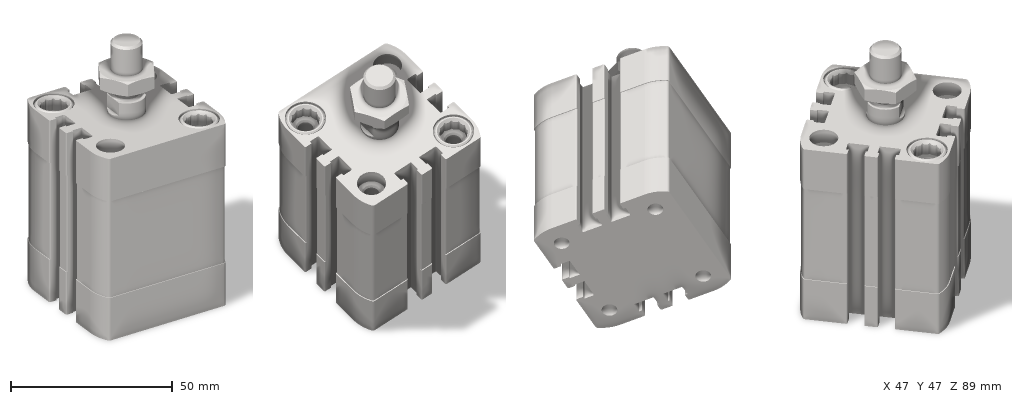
import cadquery as cq
import math

SIDE = 47.0
HALF = SIDE / 2
TOTAL_HEIGHT = 89.0
HOUSING_HEIGHT = 64.0

BARREL_HEIGHT = 34.0
CAP_HEIGHT = (HOUSING_HEIGHT - BARREL_HEIGHT) / 2
BARREL_INSET = 0.3
CORNER_START = 16.2
CORNER_RADIUS = 13.1
CORNER_BLEND = 1.0

SLOT_DEPTH = 6.0
LIP_DEPTH = 2.5
RAIL_WEB_HALF = 1.6
RAIL_HEAD_HALF = 2.1
MOUTH_END = 7.5
CAVITY_END = 8.4
MOUTH_BLEND = 0.45
RAIL_BLEND = 0.4
CAVITY_BLEND = 0.5
SLOT_FACE_ANGLES = (0, 90, 180)

HOLE_OFFSET = 16.3
BORE_DIAMETER = 4.9
BORE_MOUTH_DIAMETER = 6.0
COUNTERBORE_DIAMETER = 9.0
COUNTERBORE_DEPTH = 4.8
HOLE_FLOOR_Z = HOUSING_HEIGHT - COUNTERBORE_DEPTH

RECESS_DIAMETER = 12.8
RECESS_DEPTH = 1.0
HEAD_DIAMETER = 11.9
HEAD_CHAMFER = 0.45
SOCKET_MOUTH_DIAMETER = 10.2
SOCKET_POINTS = 12
SOCKET_ACROSS_FLATS = 7.9
SOCKET_BORE_DIAMETER = 8.5
SOCKET_CONE_DEPTH = 1.1

ROD_DIAMETER = 12.0
ROD_SHOULDER_Z = 69.9
FLATS_WIDTH = 10.0
FLATS_BOTTOM_Z = 65.3
FLATS_RUNOUT_Z = 64.8
NECK_FOOT_DIAMETER = 9.6
NECK_DIAMETER = 8.2
NECK_BOTTOM_Z = 70.4
NECK_TOP_Z = 71.5
CONE_FOOT_DIAMETER = 8.5
CONE_FOOT_Z = 71.7
THREAD_DIAMETER = 10.0
THREAD_TIP_DIAMETER = 8.5
THREAD_CHAMFER_HEIGHT = 0.8

NUT_BOTTOM_Z = 74.0
NUT_HEIGHT = 5.0
NUT_ACROSS_FLATS = 17.0
NUT_FACE_DIAMETER = 16.9
NUT_CHAMFER_HEIGHT = 0.45


def revolved(profile):
    """Turn a closed (radius, z) profile about the Z axis."""
    return cq.Workplane("XZ").polyline(profile).close().revolve(360, (0, 0, 0), (0, 1, 0))


def housing_block(inset, bottom, height):
    """Square block with arched corners, its outer faces moved inwards by the inset."""
    half = HALF - inset
    radius = CORNER_RADIUS - inset
    side_run = half - CORNER_START
    centre_y = half - radius
    side_y = centre_y + math.sqrt(radius ** 2 - side_run ** 2)
    half_angle = math.asin(side_run / radius) / 2
    mid_x = CORNER_START + radius * math.sin(half_angle)
    mid_y = centre_y + radius * math.cos(half_angle)
    return (
        cq.Workplane("XY", origin=(0, 0, bottom))
        .moveTo(-CORNER_START, half)
        .lineTo(CORNER_START, half)
        .threePointArc((mid_x, mid_y), (half, side_y))
        .lineTo(half, -side_y)
        .threePointArc((mid_x, -mid_y), (CORNER_START, -half))
        .lineTo(-CORNER_START, -half)
        .threePointArc((-mid_x, -mid_y), (-half, -side_y))
        .lineTo(-half, side_y)
        .threePointArc((-mid_x, mid_y), (-CORNER_START, half))
        .close()
        .extrude(height)
        .edges("|Z and (<X or >X)")
        .fillet(CORNER_BLEND)
    )


def slot_pair(inset, bottom, height):
    """Two mirrored T-shaped slots on the +Y face, with the narrow rail left between them."""
    face = HALF - inset
    lip = HALF - LIP_DEPTH
    floor = HALF - SLOT_DEPTH
    slot = (
        cq.Workplane("XY", origin=(0, 0, bottom))
        .moveTo(MOUTH_END + MOUTH_BLEND, face)
        .radiusArc((MOUTH_END, face - MOUTH_BLEND), -MOUTH_BLEND)
        .lineTo(MOUTH_END, lip)
        .lineTo(CAVITY_END, lip)
        .lineTo(CAVITY_END, floor + CAVITY_BLEND)
        .radiusArc((CAVITY_END - CAVITY_BLEND, floor), CAVITY_BLEND)
        .lineTo(RAIL_WEB_HALF, floor)
        .lineTo(RAIL_WEB_HALF, lip)
        .lineTo(RAIL_HEAD_HALF, lip)
        .lineTo(RAIL_HEAD_HALF, face - RAIL_BLEND)
        .radiusArc((RAIL_HEAD_HALF - RAIL_BLEND, face), -RAIL_BLEND)
        .close()
        .extrude(height)
    )
    return slot.union(slot.mirror("YZ"))


def housing_section(inset, bottom, height):
    """One length of the housing profile with the slots in its back, left and front faces."""
    section = housing_block(inset, bottom, height)
    slots = slot_pair(inset, bottom, height)
    for angle in SLOT_FACE_ANGLES:
        section = section.cut(slots.rotate((0, 0, 0), (0, 0, 1), angle))
    return section


def corner_bore(mouth_z):
    """Through bore with a 45-degree mouth at the given height, to cut at the origin."""
    bore_radius = BORE_DIAMETER / 2
    mouth_radius = BORE_MOUTH_DIAMETER / 2
    return revolved([
        (0, 0),
        (bore_radius, 0),
        (bore_radius, mouth_z - (mouth_radius - bore_radius)),
        (mouth_radius, mouth_z),
        (0, mouth_z),
    ])


def cylinder_at_floor(diameter):
    """Cylinder from the floor of a corner counterbore up to the top of the housing."""
    return (
        cq.Workplane("XY", origin=(0, 0, HOLE_FLOOR_Z))
        .circle(diameter / 2)
        .extrude(COUNTERBORE_DEPTH)
    )


def screw_recess():
    """Ring-shaped gap around a collar screw head, wider at the head's chamfer."""
    outer_radius = RECESS_DIAMETER / 2
    head_radius = HEAD_DIAMETER / 2
    bottom = HOUSING_HEIGHT - RECESS_DEPTH
    return revolved([
        (outer_radius, bottom),
        (outer_radius, HOUSING_HEIGHT),
        (head_radius - HEAD_CHAMFER, HOUSING_HEIGHT),
        (head_radius, HOUSING_HEIGHT - HEAD_CHAMFER),
        (head_radius, bottom),
    ])


def screw_socket():
    """Twelve-point socket with a conical mouth in a collar screw head."""
    bore_radius = SOCKET_BORE_DIAMETER / 2
    socket = cylinder_at_floor(SOCKET_BORE_DIAMETER)
    hexagon = (
        cq.Workplane("XY", origin=(0, 0, HOLE_FLOOR_Z))
        .polygon(SOCKET_POINTS // 2, SOCKET_ACROSS_FLATS, circumscribed=True)
        .extrude(COUNTERBORE_DEPTH)
    )
    turned_hexagon = hexagon.rotate((0, 0, 0), (0, 0, 1), 360 / SOCKET_POINTS)
    socket = socket.union(hexagon).union(turned_hexagon)
    cone = revolved([
        (0, HOUSING_HEIGHT),
        (SOCKET_MOUTH_DIAMETER / 2, HOUSING_HEIGHT),
        (bore_radius, HOUSING_HEIGHT - SOCKET_CONE_DEPTH),
        (0, HOUSING_HEIGHT - SOCKET_CONE_DEPTH),
    ])
    return socket.union(cone)


def make_housing():
    """Cylinder housing: profile with two wider ends, slots and four corner holes."""
    body = (
        housing_section(0, 0, CAP_HEIGHT)
        .union(housing_section(BARREL_INSET, CAP_HEIGHT, BARREL_HEIGHT))
        .union(housing_section(0, CAP_HEIGHT + BARREL_HEIGHT, CAP_HEIGHT))
    )
    plain_hole = corner_bore(HOLE_FLOOR_Z).union(cylinder_at_floor(COUNTERBORE_DIAMETER))
    screw_hole = corner_bore(HOLE_FLOOR_Z).union(screw_socket()).union(screw_recess())
    for side in (-1, 1):
        body = body.cut(plain_hole.translate((side * HOLE_OFFSET, -side * HOLE_OFFSET, 0)))
        body = body.cut(screw_hole.translate((side * HOLE_OFFSET, side * HOLE_OFFSET, 0)))
    return body


def flat_cutter():
    """Material outside the flat on the +Y side, ending in a slope at its lower end."""
    flat_y = FLATS_WIDTH / 2
    rod_y = ROD_DIAMETER / 2
    return (
        cq.Workplane("YZ", origin=(-rod_y, 0, 0))
        .polyline([
            (flat_y, FLATS_BOTTOM_Z),
            (rod_y, FLATS_RUNOUT_Z),
            (rod_y, ROD_SHOULDER_Z),
            (flat_y, ROD_SHOULDER_Z),
        ])
        .close()
        .extrude(ROD_DIAMETER)
    )


def make_rod():
    """Piston rod standing on the housing: spanner flats, neck and threaded end."""
    thread_radius = THREAD_DIAMETER / 2
    rod = revolved([
        (0, HOUSING_HEIGHT),
        (ROD_DIAMETER / 2, HOUSING_HEIGHT),
        (ROD_DIAMETER / 2, ROD_SHOULDER_Z),
        (NECK_FOOT_DIAMETER / 2, ROD_SHOULDER_Z),
        (NECK_DIAMETER / 2, NECK_BOTTOM_Z),
        (NECK_DIAMETER / 2, NECK_TOP_Z),
        (CONE_FOOT_DIAMETER / 2, CONE_FOOT_Z),
        (thread_radius, NUT_BOTTOM_Z),
        (thread_radius, TOTAL_HEIGHT - THREAD_CHAMFER_HEIGHT),
        (THREAD_TIP_DIAMETER / 2, TOTAL_HEIGHT),
        (0, TOTAL_HEIGHT),
    ])
    flat = flat_cutter()
    return rod.cut(flat).cut(flat.mirror("XZ"))


def make_nut():
    """Hexagon nut with corners on the Y axis, chamfered on both faces."""
    corner_radius = NUT_ACROSS_FLATS / math.sqrt(3)
    face_radius = NUT_FACE_DIAMETER / 2
    top = NUT_BOTTOM_Z + NUT_HEIGHT
    hexagon = (
        cq.Workplane("XY", origin=(0, 0, NUT_BOTTOM_Z))
        .polygon(6, 2 * corner_radius)
        .extrude(NUT_HEIGHT)
        .rotate((0, 0, 0), (0, 0, 1), 90)
    )
    chamfered_ring = revolved([
        (THREAD_DIAMETER / 2, NUT_BOTTOM_Z),
        (face_radius, NUT_BOTTOM_Z),
        (corner_radius, NUT_BOTTOM_Z + NUT_CHAMFER_HEIGHT),
        (corner_radius, top - NUT_CHAMFER_HEIGHT),
        (face_radius, top),
        (THREAD_DIAMETER / 2, top),
    ])
    return hexagon.intersect(chamfered_ring)


housing = make_housing()
rod = make_rod()
nut = make_nut()

result = cq.Compound.makeCompound([housing.val(), rod.val(), nut.val()])